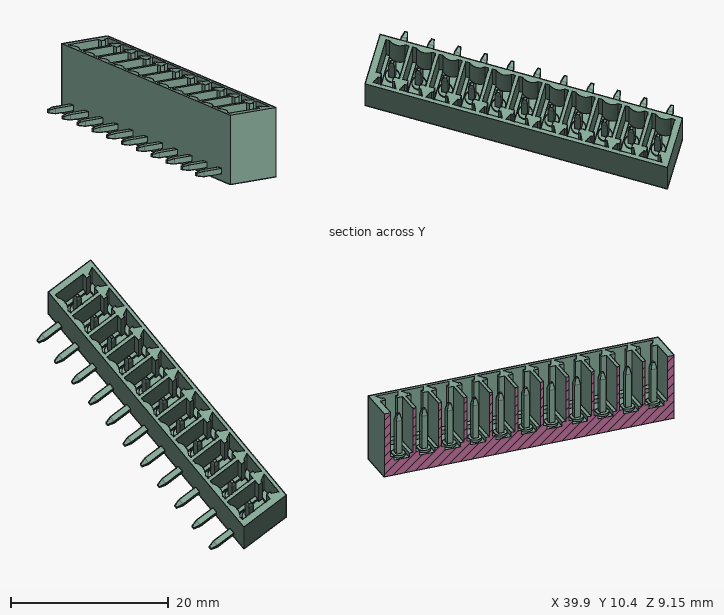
import cadquery as cq

LENGTH = 39.9
DEPTH = 6.85
HEIGHT = 9.15

PIN_COUNT = 11
ROW_SPAN = 35.07
PITCH = ROW_SPAN / (PIN_COUNT - 1)
FIRST_PIN_X = 2.4
PIN_Y = 2.8
PIN_LEG_Z = 1.3

PIN_WIDTH = 0.8
PIN_THICKNESS = 0.7
TIP_WIDTH = 0.35
TIP_LENGTH = 0.88
PIN_PROTRUSION = 3.55
PIN_TOP_RECESS = 1.05

POCKET_WIDTH = 3.05
POCKET_FRONT_Y = 0.48
POCKET_BACK_Y = 4.95
LEDGE_Z = 2.8
CHANNEL_WIDTH = 2.05
CHANNEL_Z = 2.2
FRONT_RIB_BULGE = 0.35
BOSS_DIAMETER = 1.8
BOSS_HEIGHT = 0.3

THROAT_WIDTH = 1.6
DOVETAIL_FRONT_Y = 5.55
DOVETAIL_BACK_Y = 6.4
DOVETAIL_FRONT_WIDTH = 2.15


def box(width, y_start, y_end, z_start, z_end):
    """Block centred on X = 0 between the given Y and Z limits."""
    size_y = y_end - y_start
    return (
        cq.Workplane("XY")
        .box(width, size_y, z_end - z_start, centered=(True, False, False))
        .translate((0, y_start, z_start))
    )


def make_front_rib():
    """Curved thickening of the front wall, facing the pin."""
    half_width = CHANNEL_WIDTH / 2
    return (
        cq.Workplane("XY", origin=(0, POCKET_FRONT_Y, CHANNEL_Z))
        .moveTo(-half_width, 0)
        .threePointArc((0, FRONT_RIB_BULGE), (half_width, 0))
        .close()
        .extrude(HEIGHT - CHANNEL_Z)
    )


def make_dovetail():
    """Dovetail slot, widest at the back wall, where it is as wide as the pocket."""
    return (
        cq.Workplane("XY", origin=(0, 0, LEDGE_Z))
        .polyline([
            (-DOVETAIL_FRONT_WIDTH / 2, DOVETAIL_FRONT_Y),
            (DOVETAIL_FRONT_WIDTH / 2, DOVETAIL_FRONT_Y),
            (POCKET_WIDTH / 2, DOVETAIL_BACK_Y),
            (-POCKET_WIDTH / 2, DOVETAIL_BACK_Y),
        ])
        .close()
        .extrude(HEIGHT - LEDGE_Z)
    )


def make_cavity():
    """Everything removed from the housing at one pin position."""
    pocket = box(POCKET_WIDTH, POCKET_FRONT_Y, POCKET_BACK_Y, LEDGE_Z, HEIGHT)
    channel = box(CHANNEL_WIDTH, POCKET_FRONT_Y, POCKET_BACK_Y, CHANNEL_Z, HEIGHT)
    throat = box(THROAT_WIDTH, POCKET_BACK_Y, DOVETAIL_FRONT_Y, CHANNEL_Z, HEIGHT)
    boss = (
        cq.Workplane("XY", origin=(0, PIN_Y, CHANNEL_Z))
        .circle(BOSS_DIAMETER / 2)
        .extrude(BOSS_HEIGHT)
    )
    cavity = pocket.union(channel).union(throat).union(make_dovetail())
    return cavity.cut(make_front_rib()).cut(boss)


def make_leg(length):
    """Rectangular leg along +Z from the origin, tapered at its far end."""
    shaft_length = length - TIP_LENGTH
    shaft = cq.Workplane("XY").rect(PIN_WIDTH, PIN_THICKNESS).extrude(shaft_length)
    tip = (
        cq.Workplane("XY", origin=(0, 0, shaft_length))
        .rect(PIN_WIDTH, PIN_THICKNESS)
        .workplane(offset=TIP_LENGTH)
        .rect(TIP_WIDTH, TIP_WIDTH)
        .loft(ruled=True)
    )
    return shaft.union(tip)


def make_pin():
    """Right-angle pin: one leg up into the pocket, one out through the front."""
    contact = make_leg(HEIGHT - PIN_TOP_RECESS - PIN_LEG_Z)
    solder_leg = make_leg(PIN_Y + PIN_PROTRUSION).rotate((0, 0, 0), (1, 0, 0), 90)
    return contact.union(solder_leg).translate((0, PIN_Y, PIN_LEG_Z))


result = cq.Workplane("XY").box(LENGTH, DEPTH, HEIGHT, centered=False)
cavity = make_cavity()
pin = make_pin()
for index in range(PIN_COUNT):
    offset = (FIRST_PIN_X + index * PITCH, 0, 0)
    result = result.cut(cavity.translate(offset)).union(pin.translate(offset))